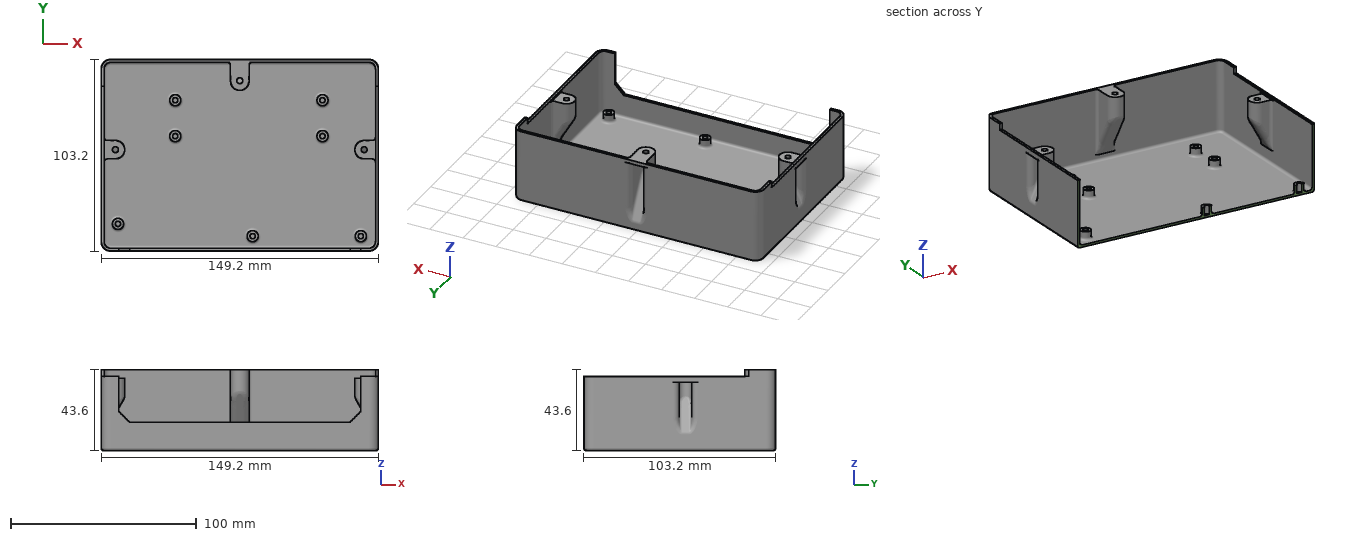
import cadquery as cq
import math

wall = 1.6
inner_length = 146.0
inner_width = 100.0
inner_height = 42.0
outer_length = inner_length + 2 * wall
outer_width = inner_width + 2 * wall
outer_height = inner_height + wall
corner_radius = 5.2
inner_corner_radius = corner_radius - wall
bottom_edge_radius = wall
floor_fillet = wall

low_rim_z = 40.0
full_rim_length = 14.6

opening_side_margin = 9.6
opening_bottom_z = 15.4
opening_corner = 5.7

boss_radius = 5.0
boss_roof = 2.2
boss_hole_diameter = 3.2
underside_angle = 30.0
small_blend = wall
large_blend = 2 * wall
side_boss_reach = 12.7
side_boss_drop = 1.0
side_boss_top = low_rim_z - side_boss_drop
side_boss_tip_bottom = 28.5
back_boss_reach = 16.7
back_boss_tip_bottom = 31.3
back_boss_hole_offset = 11.5
side_boss_hole_offset = side_boss_reach - boss_radius
side_boss_y = 3.0

edge_tolerance = 0.01

standoff_diameter = 6.0
standoff_hole_diameter = 2.85
standoff_height = 5.0
standoff_fillet = wall
rear_standoffs = [(x, y) for x in (-34.7, 44.5) for y in (29.6, 10.3)]
front_standoffs = [(-65.5, -36.9), (6.9, -43.5), (65.1, -43.5)]


def arc_inset(radius):
    """How far the middle of a quarter-round fillet stands off the two faces it joins."""
    return radius * (1 - math.sqrt(0.5))


def make_tray():
    outside = (
        cq.Workplane("XY")
        .rect(outer_length, outer_width)
        .extrude(outer_height)
        .edges("|Z")
        .fillet(corner_radius)
        .faces("<Z")
        .edges()
        .fillet(bottom_edge_radius)
    )
    inside = (
        cq.Workplane("XY", origin=(0, 0, wall))
        .rect(inner_length, inner_width)
        .extrude(inner_height)
        .edges("|Z")
        .fillet(inner_corner_radius)
        .faces("<Z")
        .edges()
        .fillet(floor_fillet)
    )
    return outside.cut(inside)


def cut_rim(tray):
    low_length = outer_width - full_rim_length
    rim_cut = (
        cq.Workplane("XY", origin=(0, -outer_width / 2, low_rim_z))
        .rect(outer_length, 2 * low_length)
        .extrude(outer_height - low_rim_z)
    )
    return tray.cut(rim_cut)


def cut_front_opening(tray):
    half_top = outer_length / 2 - opening_side_margin
    half_bottom = half_top - opening_corner
    corner_z = opening_bottom_z + opening_corner
    opening = (
        cq.Workplane("XZ", origin=(0, -inner_width / 2, 0))
        .moveTo(-half_top, outer_height)
        .lineTo(-half_top, corner_z)
        .lineTo(-half_bottom, opening_bottom_z)
        .lineTo(half_bottom, opening_bottom_z)
        .lineTo(half_top, corner_z)
        .lineTo(half_top, outer_height)
        .close()
        .extrude(wall)
    )
    return tray.cut(opening)


def slope_underside(column, back_x, tip_x, tip_bottom, half_width, blend_start_x, edge_blend):
    """Slope the underside of a column down from its tip and round the cut edge past blend_start_x."""
    slope_angle = math.radians(underside_angle)
    back_bottom = tip_bottom - (tip_x - back_x) / math.tan(slope_angle)
    below_slope = (
        cq.Workplane("XZ")
        .moveTo(back_x, back_bottom)
        .lineTo(tip_x, tip_bottom)
        .lineTo(tip_x, -outer_height)
        .lineTo(back_x, -outer_height)
        .close()
        .extrude(half_width, both=True)
    )
    slope_normal = cq.Vector(math.cos(slope_angle), 0, -math.sin(slope_angle))
    lug = column.cut(below_slope)
    sloped_face = lug.faces(cq.selectors.ParallelDirSelector(slope_normal))
    blended_part = cq.selectors.BoxSelector(
        (blend_start_x - edge_tolerance, -half_width - edge_tolerance, -outer_height),
        (tip_x + edge_tolerance, half_width + edge_tolerance, outer_height),
        boundingbox=True,
    )
    return sloped_face.edges("not |Y").edges(blended_part).fillet(edge_blend)


def make_boss(reach, top, tip_bottom):
    """The solid lug: round tip, blends into the wall at both sides, sloped underside."""
    straight_end = reach - boss_radius
    blend_end = wall + small_blend
    blend_mid = arc_inset(small_blend)
    flared_half = boss_radius + small_blend
    column = (
        cq.Workplane("XY", origin=(0, 0, -outer_height))
        .moveTo(0, -flared_half)
        .lineTo(wall, -flared_half)
        .threePointArc((wall + blend_mid, -boss_radius - blend_mid), (blend_end, -boss_radius))
        .lineTo(straight_end, -boss_radius)
        .threePointArc((reach, 0), (straight_end, boss_radius))
        .lineTo(blend_end, boss_radius)
        .threePointArc((wall + blend_mid, boss_radius + blend_mid), (wall, flared_half))
        .lineTo(0, flared_half)
        .close()
        .extrude(outer_height + top)
    )
    return slope_underside(column, 0, reach, tip_bottom, flared_half, wall, large_blend)


def make_hollow(reach, top, tip_bottom):
    """The space inside a boss, joined to a slab outside the wall so that its mouth is rounded."""
    tip_x = reach - wall
    radius = boss_radius - wall
    straight_end = tip_x - radius
    inner_tip_bottom = tip_bottom + wall * math.tan(math.radians(underside_angle / 2))
    column = (
        cq.Workplane("XY", origin=(0, 0, -outer_height))
        .moveTo(-wall, -radius)
        .lineTo(straight_end, -radius)
        .threePointArc((tip_x, 0), (straight_end, radius))
        .lineTo(-wall, radius)
        .close()
        .extrude(outer_height + top)
    )
    space = slope_underside(column, -wall, tip_x, inner_tip_bottom, radius, -wall, small_blend)
    half_slab = radius + 2 * large_blend
    slab = cq.Workplane("XY", origin=(-wall / 2, 0, 0)).rect(wall, 2 * half_slab).extrude(top)
    mouth = cq.selectors.BoxSelector(
        (-edge_tolerance, -radius - edge_tolerance, 0),
        (edge_tolerance, radius + edge_tolerance, top + edge_tolerance),
        boundingbox=True,
    )
    return space.union(slab).edges(mouth).fillet(large_blend)


def add_boss(tray, reach, top, tip_bottom, hole_offset, turn, origin):
    """Add a boss whose outer wall face passes through origin; turn points it inward."""
    boss = make_boss(reach, top, tip_bottom)
    hollow = make_hollow(reach, top - boss_roof, tip_bottom)
    hole = (
        cq.Workplane("XY", origin=(hole_offset, 0, top - boss_roof))
        .circle(boss_hole_diameter / 2)
        .extrude(boss_roof)
    )

    def place(body):
        return body.rotate((0, 0, 0), (0, 0, 1), turn).translate(origin)

    return tray.union(place(boss)).cut(place(hollow)).cut(place(hole))


def add_standoff(tray, position):
    x, y = position
    radius = standoff_diameter / 2
    hole_radius = standoff_hole_diameter / 2
    blend_mid = arc_inset(standoff_fillet)
    standoff = (
        cq.Workplane("XZ")
        .moveTo(hole_radius, 0)
        .lineTo(radius + standoff_fillet, 0)
        .threePointArc((radius + blend_mid, blend_mid), (radius, standoff_fillet))
        .lineTo(radius, standoff_height)
        .lineTo(hole_radius, standoff_height)
        .close()
        .revolve(360, (0, 0, 0), (0, 1, 0))
    )
    return tray.union(standoff.translate((x, y, wall)))


result = make_tray()
result = cut_rim(result)
result = cut_front_opening(result)

side_boss = (side_boss_reach, side_boss_top, side_boss_tip_bottom, side_boss_hole_offset)
back_boss = (back_boss_reach, outer_height, back_boss_tip_bottom, back_boss_hole_offset)
result = add_boss(result, *side_boss, turn=0, origin=(-outer_length / 2, side_boss_y, 0))
result = add_boss(result, *side_boss, turn=180, origin=(outer_length / 2, side_boss_y, 0))
result = add_boss(result, *back_boss, turn=-90, origin=(0, outer_width / 2, 0))

for standoff_position in rear_standoffs + front_standoffs:
    result = add_standoff(result, standoff_position)